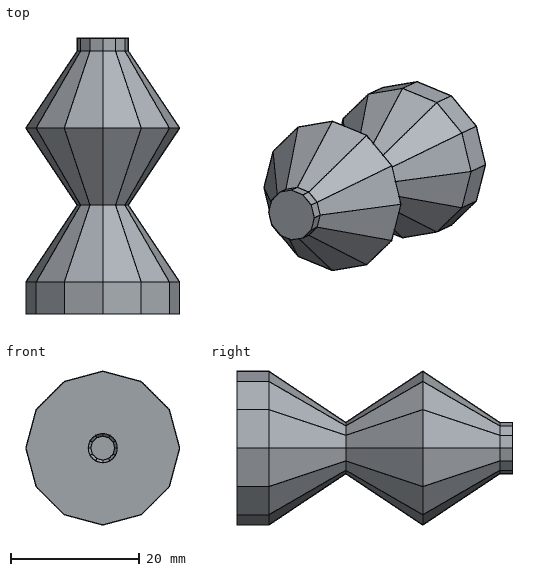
import cadquery as cq

sides = 12
total_length = 43
wide_diameter = 24.0
narrow_diameter = wide_diameter / 3
base_length = 5.0
tip_length = 2.0
taper_length = (total_length - base_length - tip_length) / 3

floor_thickness = 3
chamber_end_diameter = 3.75
chamber_diameter = wide_diameter - (narrow_diameter - chamber_end_diameter)

hole_diameter = 4.5


def twelve_sided_section(length, start_diameter, end_diameter, start):
    """Straight or tapered section from Y = start, with corners on the X and Z axes."""
    return (
        cq.Workplane("XZ", origin=(0, start, 0))
        .polygon(sides, start_diameter)
        .workplane(offset=-length)
        .polygon(sides, end_diameter)
        .loft(ruled=True)
    )


def stack_sections(sections, start):
    """Join (length, start diameter, end diameter) sections end to end along +Y."""
    stack = cq.Workplane("XZ")
    for length, start_diameter, end_diameter in sections:
        stack = stack.union(twelve_sided_section(length, start_diameter, end_diameter, start))
        start += length
    return stack


body = stack_sections(
    [
        (base_length, wide_diameter, wide_diameter),
        (taper_length, wide_diameter, narrow_diameter),
        (taper_length, narrow_diameter, wide_diameter),
        (taper_length, wide_diameter, narrow_diameter),
        (tip_length, narrow_diameter, narrow_diameter),
    ],
    start=0,
)

chamber = stack_sections(
    [
        (base_length - floor_thickness, chamber_diameter, chamber_diameter),
        (taper_length, chamber_diameter, chamber_end_diameter),
    ],
    start=floor_thickness,
)

hole = cq.Workplane("XZ").circle(hole_diameter / 2).extrude(-floor_thickness)

result = body.cut(chamber).cut(hole)